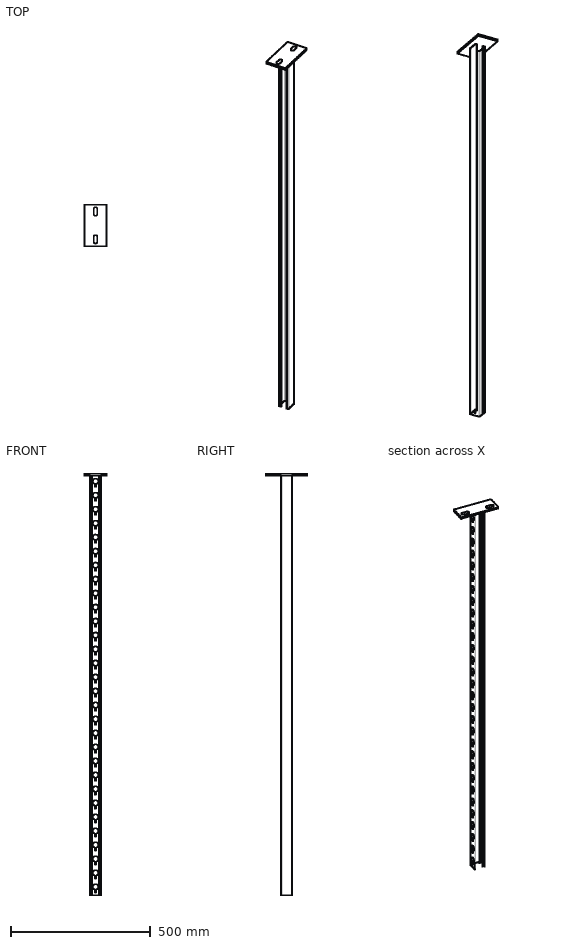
import cadquery as cq

total_height = 1508.0
plate_width = 80.0
plate_length = 150.0
plate_thickness = 8.0
channel_height = total_height - plate_thickness

plate_slot_width = 14.0
plate_slot_length = 30.0
plate_slot_spacing = 100.0
plate_slot_depth = 2.0

wall = 2.0
bend_radius = 2.7
opening_width = 23.0
lip_width = 9.2
channel_size = opening_width + 2 * lip_width
lip_depth = 8.0
lip_bend_radius = 1.8

large_recess_diameter = 20.0
small_recess_diameter = 6.0
web_recess_depth = 0.8
recess_pair_count = 30
recess_pitch = channel_height / recess_pair_count
first_large_height = 30.0
first_small_height = 12.8


def make_plate():
    """Flat head plate with two shallow round-ended recesses, lying on top of the channel."""
    return (
        cq.Workplane("XY")
        .workplane(offset=channel_height)
        .rect(plate_width, plate_length)
        .extrude(plate_thickness)
        .faces(">Z")
        .workplane()
        .pushPoints([(0, -plate_slot_spacing / 2), (0, plate_slot_spacing / 2)])
        .slot2D(plate_slot_length, plate_slot_width, 90)
        .cutBlind(-plate_slot_depth)
    )


def make_channel_blank():
    """Bent C-section whose front edges turn inward as lips."""
    inner_size = channel_size - 2 * wall
    front = -channel_size / 2
    outer = (
        cq.Workplane("XY")
        .rect(channel_size, channel_size)
        .extrude(channel_height)
        .edges("|Z")
        .fillet(bend_radius)
    )
    cavity = (
        cq.Workplane("XY")
        .rect(inner_size, inner_size)
        .extrude(channel_height)
        .edges("|Z")
        .fillet(bend_radius - wall)
    )
    lips = (
        cq.Workplane("XY")
        .rect(opening_width + 2 * wall, 2 * lip_depth)
        .extrude(channel_height)
        .translate((0, front, 0))
        .intersect(outer)
    )
    opening = (
        cq.Workplane("XY")
        .rect(opening_width, 2 * lip_depth)
        .extrude(channel_height)
        .translate((0, front, 0))
    )
    section = outer.cut(cavity).union(lips).cut(opening)
    lip_bends = cq.selectors.BoxSelector(
        (-opening_width / 2 - wall / 2, front - wall / 2, 0),
        (opening_width / 2 + wall / 2, front + wall / 2, channel_height),
    )
    return section.edges("|Z").edges(lip_bends).fillet(lip_bend_radius)


def make_web_recesses(diameter, first_height):
    """Evenly spaced round cutters sunk into the inner face of the back web."""
    centers = [(0, first_height + i * recess_pitch) for i in range(recess_pair_count)]
    inner_face = channel_size / 2 - wall
    return (
        cq.Workplane("XZ", origin=(0, inner_face, 0))
        .pushPoints(centers)
        .circle(diameter / 2)
        .extrude(-web_recess_depth)
    )


plate = make_plate()
channel = (
    make_channel_blank()
    .cut(make_web_recesses(large_recess_diameter, first_large_height))
    .cut(make_web_recesses(small_recess_diameter, first_small_height))
)

result = cq.Compound.makeCompound([plate.val(), channel.val()])